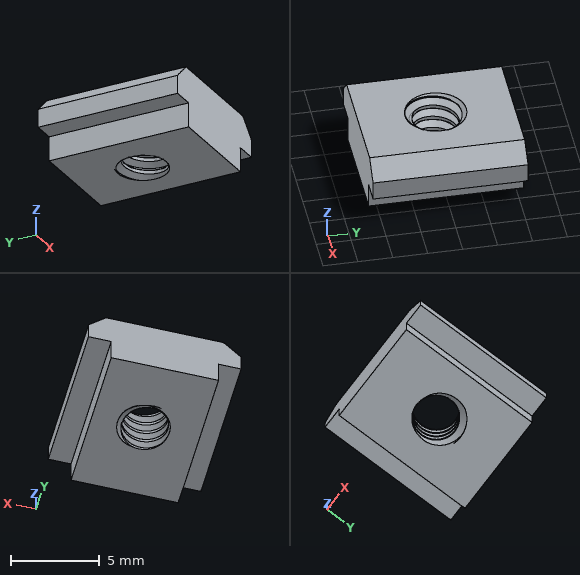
import cadquery as cq
import math

head_width = 8.89
length = 8.89
height = 3.68
stem_width = 6.24
stem_height = 1.52
edge_chamfer = 1.02

minor_radius = 1.34
major_radius = 1.75
pitch = 0.79
root_flat = pitch / 8
flank_slope = math.tan(math.radians(30))
thread_start_depth = 0.64
bore_overlap = 0.08


def make_body():
    half_head = head_width / 2
    half_stem = stem_width / 2
    half_top = half_head - edge_chamfer
    shoulder = height - edge_chamfer
    section = [
        (-half_stem, 0),
        (half_stem, 0),
        (half_stem, stem_height),
        (half_head, stem_height),
        (half_head, shoulder),
        (half_top, height),
        (-half_top, height),
        (-half_head, shoulder),
        (-half_head, stem_height),
        (-half_stem, stem_height),
    ]
    return cq.Workplane("XZ").polyline(section).close().extrude(length / 2, both=True)


def make_bore():
    """Minor-diameter bore with a 45 degree countersink out to the major diameter."""
    countersink_depth = major_radius - minor_radius
    outline = [
        (0, 0),
        (minor_radius, 0),
        (minor_radius, height - countersink_depth),
        (major_radius, height),
        (0, height),
    ]
    return cq.Workplane("XZ").polyline(outline).close().revolve(360, (0, 0, 0), (0, 1, 0))


def make_thread_groove():
    """Helical trapezoid that runs out through both the bottom and the top face."""
    inner_radius = minor_radius - bore_overlap
    half_root = root_flat / 2
    half_mouth = half_root + (major_radius - inner_radius) * flank_slope
    turns_below = math.ceil((height - thread_start_depth + half_mouth) / pitch)
    turns_above = math.ceil((thread_start_depth + half_mouth) / pitch)
    start_z = height - thread_start_depth - turns_below * pitch
    helix = cq.Wire.makeHelix(
        pitch, (turns_below + turns_above) * pitch, major_radius, cq.Vector(0, 0, start_z)
    )
    profile = [
        (inner_radius, start_z - half_mouth),
        (major_radius, start_z - half_root),
        (major_radius, start_z + half_root),
        (inner_radius, start_z + half_mouth),
    ]
    return cq.Workplane("XZ").polyline(profile).close().sweep(cq.Workplane(helix), isFrenet=True)


result = make_body().cut(make_bore()).cut(make_thread_groove())